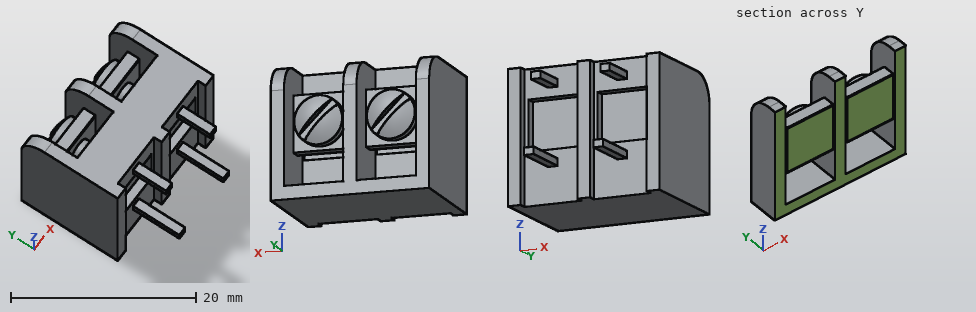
import cadquery as cq


width = 18.06
depth = 12.7
height = 15.25
poles = 2
wall = 1.52
pitch = (width - wall) / poles
bay_width = pitch - wall
back_recess = 1.01
bay_floor_y = 6.38
sill_height = wall
wall_round = 3.05

window_width = 5.87
window_height = 5.8
window_depth = 1.14

screw_z = 8.95
plate_size = 6.34
contact_thickness = 0.07
clamp_y = 8.55
clamp_thickness = 1.59
clamp_lip = 0.07
clamp_lip_inset = 0.07
shank_radius = 1.43
head_radius = 2.73
head_top_y = 11.15
dome_height = 0.83
slot_width = 0.9
slot_angle = 45.0

pin_width = 1.12
pin_height = 0.83
pin_spacing = 8.8
long_pin = 5.07
short_pin = 3.35

pole_centres = [(i - (poles - 1) / 2) * pitch for i in range(poles)]


def block(x, z, size_x, size_z, y_start, y_end):
    """Box centred on (x, z) in the XZ plane and reaching from y_start to y_end."""
    length = y_end - y_start
    return cq.Workplane("XY").box(size_x, length, size_z).translate((x, y_start + length / 2, z))


def cylinder(x, radius, y_start, y_end):
    """Cylinder on the screw axis of the pole at x."""
    plane = cq.Workplane("XZ", origin=(x, y_start, screw_z))
    return plane.circle(radius).extrude(y_start - y_end)


def housing():
    """Walled block with a screw bay, a recessed back and a window at each pole."""
    body = block(0, height / 2, width, height, 0, depth)
    body = body.edges(">Y and >Z").fillet(wall_round)
    bay_height = height - sill_height
    bay_z = sill_height + bay_height / 2
    window_end = back_recess + window_depth
    for x in pole_centres:
        body = body.cut(block(x, height / 2, bay_width, height, 0, back_recess))
        body = body.cut(block(x, bay_z, bay_width, bay_height, bay_floor_y, depth))
        body = body.cut(block(x, screw_z, window_width, window_height, back_recess, window_end))
    return body


def screw(x):
    """Shank and slotted head with a domed top."""
    shank = cylinder(x, shank_radius, bay_floor_y, head_top_y)
    head = cylinder(x, head_radius, clamp_y + clamp_thickness, head_top_y)
    dome_radius = (head_radius**2 + dome_height**2) / (2 * dome_height)
    dome_top_y = head_top_y + dome_height
    ball = cq.Workplane("XY").sphere(dome_radius).translate((x, dome_top_y - dome_radius, screw_z))
    dome = cylinder(x, head_radius, head_top_y, dome_top_y).intersect(ball)
    axis_start = (x, 0, screw_z)
    axis_end = (x, 1, screw_z)
    slot = block(x, screw_z, 2 * head_radius, slot_width, head_top_y, dome_top_y)
    slot = slot.rotate(axis_start, axis_end, slot_angle)
    return shank.union(head).union(dome.cut(slot))


def clamp(x):
    """Square clamping plate with a thin lip on its contact side."""
    lip_end = clamp_y + clamp_lip
    plate = block(x, screw_z, plate_size, plate_size, lip_end, clamp_y + clamp_thickness)
    lip_height = plate_size - 2 * clamp_lip_inset
    return plate.union(block(x, screw_z, plate_size, lip_height, clamp_y, lip_end))


def contact(x):
    """Thin contact plate on the bay floor and the two pins behind it."""
    plate = block(x, screw_z, plate_size, plate_size, bay_floor_y, bay_floor_y + contact_thickness)
    upper_pin = block(x, screw_z + pin_spacing / 2, pin_width, pin_height, -short_pin, back_recess)
    lower_pin = block(x, screw_z - pin_spacing / 2, pin_width, pin_height, -long_pin, back_recess)
    return plate.union(upper_pin).union(lower_pin)


result = housing()
for pole_x in pole_centres:
    result = result.union(contact(pole_x)).union(clamp(pole_x)).union(screw(pole_x))